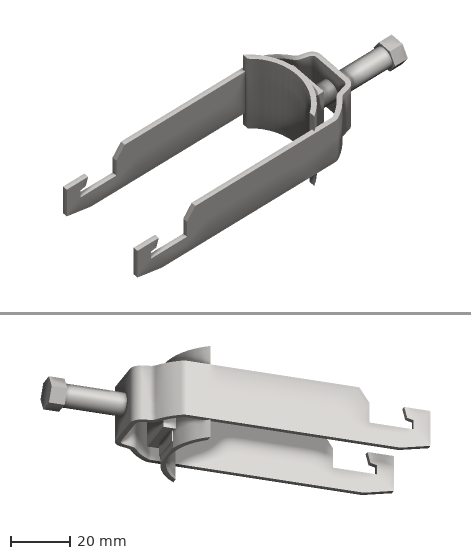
import cadquery as cq
import math

SHEET = 2.0

STRAP_WIDTH = 39.0
STRAP_HEIGHT = 20.2
STRAP_TOP_Y = 103.1
SHOULDER_CENTRE_Y = 78.0
SHOULDER_RADIUS = 21.8
NECK_TOP_WIDTH = 20.4
NECK_LEAN = 15.0
NECK_TOP_FILLET = 2 * SHEET
NECK_FOOT_FILLET = 2.5
SHOULDER_FILLET = 4.5
PICK_MARGIN = 0.1

HOOK_RAMP_Y = 25.5
HOOK_SLOT_BACK_Y = 21.8
HOOK_RAMP_FOOT_Z = 4.8
HOOK_SLOT_FLOOR_Z = -2.5
HOOK_SLOT_FRONT_Y = 6.0
HOOK_NOSE_TOP_Z = 5.4
HOOK_NOSE_TOP_Y = 9.4
HOOK_NOSE_CORNER_Y = 8.4
HOOK_NOSE_CORNER_Z = 1.5
HOOK_UNDERCUT_Z = 0.9
HOOK_TIP_BOTTOM_Z = -7.7
HOOK_CHIN_Y = 10.7

BOLT_DIAMETER = 8.2
BOLT_TIP_Y = 92.1
HEAD_ACROSS_CORNERS = 11.4
HEAD_TOP_Y = 130.5
HEAD_HEIGHT = 5.6

SADDLE_HEIGHT = 34.0
SADDLE_CENTRE_Z = 0.4
SADDLE_END_Y = 78.4
SADDLE_APEX_Y = 88.3
SADDLE_RADIUS = 22.6
BLOCK_WIDTH = 16.2
BLOCK_BACK_Y = 91.5
BLOCK_TOP_Z = 12.3
RECESS_FLOOR_Y = 87.5
PAD_BACK_Y = 87.8
PAD_BOTTOM_Z = -14.1

ARM_INNER_X = STRAP_WIDTH / 2 - SHEET
STRAP_BOTTOM_Z = -STRAP_HEIGHT / 2
SADDLE_BOTTOM_Z = SADDLE_CENTRE_Z - SADDLE_HEIGHT / 2
SADDLE_CENTRE_Y = SADDLE_APEX_Y - SADDLE_RADIUS
RECESS_WIDTH = 2 * math.sqrt(SADDLE_RADIUS**2 - (RECESS_FLOOR_Y - SADDLE_CENTRE_Y) ** 2)


def box_between(x_range, y_range, z_range):
    """Box with the given lower and upper limits along each axis."""
    size = [high - low for low, high in (x_range, y_range, z_range)]
    corner = (x_range[0], y_range[0], z_range[0])
    return cq.Workplane("XY").box(*size, centered=False).translate(corner)


def centred_range(width):
    """Limits of a span of the given width about zero."""
    return (-width / 2, width / 2)


def cylinder_along_z(radius, centre_y, z_range):
    """Cylinder on the X = 0 plane between two heights."""
    height = z_range[1] - z_range[0]
    return cq.Workplane("XY", origin=(0, centre_y, z_range[0])).circle(radius).extrude(height)


def strap_envelope():
    """Filled outline of the strap, reaching one sheet thickness past the hook tips."""
    z_range = centred_range(STRAP_HEIGHT)
    half_width = STRAP_WIDTH / 2
    shoulder_rise = math.sqrt(SHOULDER_RADIUS**2 - half_width**2)
    arms = box_between(centred_range(STRAP_WIDTH), (-SHEET, SHOULDER_CENTRE_Y), z_range)
    shoulder = cylinder_along_z(SHOULDER_RADIUS, SHOULDER_CENTRE_Y, z_range).intersect(
        box_between(
            centred_range(STRAP_WIDTH),
            (SHOULDER_CENTRE_Y, SHOULDER_CENTRE_Y + SHOULDER_RADIUS),
            z_range,
        )
    )
    neck_top = NECK_TOP_WIDTH / 2
    neck_foot = neck_top + (STRAP_TOP_Y - SHOULDER_CENTRE_Y) * math.tan(math.radians(NECK_LEAN))
    neck = (
        cq.Workplane("XY", origin=(0, 0, z_range[0]))
        .moveTo(-neck_foot, SHOULDER_CENTRE_Y)
        .lineTo(neck_foot, SHOULDER_CENTRE_Y)
        .lineTo(neck_top, STRAP_TOP_Y)
        .lineTo(-neck_top, STRAP_TOP_Y)
        .close()
        .extrude(STRAP_HEIGHT)
    )
    envelope = arms.union(shoulder).union(neck).clean()

    shoulder_y = SHOULDER_CENTRE_Y + shoulder_rise
    bends = [
        (NECK_FOOT_FILLET, (shoulder_y + PICK_MARGIN, STRAP_TOP_Y - PICK_MARGIN)),
        (NECK_TOP_FILLET, (STRAP_TOP_Y - PICK_MARGIN, STRAP_TOP_Y + PICK_MARGIN)),
        (SHOULDER_FILLET, (shoulder_y - PICK_MARGIN, shoulder_y + PICK_MARGIN)),
    ]
    for radius, (low_y, high_y) in bends:
        corner_band = cq.selectors.BoxSelector(
            (-STRAP_WIDTH, low_y, -STRAP_HEIGHT), (STRAP_WIDTH, high_y, STRAP_HEIGHT)
        )
        envelope = envelope.edges("|Z").edges(corner_band).fillet(radius)
    return envelope


def hook_profile():
    """Side profile of the strap with its hooks, extruded across the whole strap width."""
    top_z = STRAP_HEIGHT / 2
    return (
        cq.Workplane("YZ", origin=(-STRAP_WIDTH / 2, 0, 0))
        .polyline(
            [
                (STRAP_TOP_Y, top_z),
                (HOOK_RAMP_Y, top_z),
                (HOOK_SLOT_BACK_Y, HOOK_RAMP_FOOT_Z),
                (HOOK_SLOT_BACK_Y, HOOK_SLOT_FLOOR_Z),
                (HOOK_SLOT_FRONT_Y, HOOK_SLOT_FLOOR_Z),
                (HOOK_SLOT_FRONT_Y, HOOK_UNDERCUT_Z),
                (HOOK_NOSE_CORNER_Y, HOOK_NOSE_CORNER_Z),
                (HOOK_NOSE_TOP_Y, HOOK_NOSE_TOP_Z),
                (0, HOOK_NOSE_TOP_Z),
                (0, HOOK_TIP_BOTTOM_Z),
                (HOOK_CHIN_Y, STRAP_BOTTOM_Z),
                (STRAP_TOP_Y, STRAP_BOTTOM_Z),
            ]
        )
        .close()
        .extrude(STRAP_WIDTH)
    )


def bolt_shank():
    """Plain rod from the top of the head to the bolt tip."""
    length = HEAD_TOP_Y - BOLT_TIP_Y
    return cq.Workplane("XZ", origin=(0, HEAD_TOP_Y, 0)).circle(BOLT_DIAMETER / 2).extrude(length)


def make_strap():
    """Thin bent band with two hooks and a hole for the bolt."""
    envelope = strap_envelope()
    outline = envelope.faces("<Z").wires().toPending()
    inside = outline.offset2D(-SHEET).extrude(STRAP_HEIGHT, combine=False)
    return envelope.cut(inside).intersect(hook_profile()).cut(bolt_shank())


def make_bolt():
    """Hexagon-head bolt pointing toward the saddle."""
    head = (
        cq.Workplane("XZ", origin=(0, HEAD_TOP_Y, 0))
        .polygon(6, HEAD_ACROSS_CORNERS)
        .extrude(HEAD_HEIGHT)
    )
    return head.union(bolt_shank())


def make_saddle():
    """Arched plate between the arms, with the thrust block facing the bolt tip."""
    z_range = (SADDLE_BOTTOM_Z, SADDLE_BOTTOM_Z + SADDLE_HEIGHT)
    bore = cylinder_along_z(SADDLE_RADIUS - SHEET, SADDLE_CENTRE_Y, z_range)
    above_ends = box_between(centred_range(2 * SADDLE_RADIUS), (SADDLE_END_Y, BLOCK_BACK_Y), z_range)
    saddle = cylinder_along_z(SADDLE_RADIUS, SADDLE_CENTRE_Y, z_range).intersect(above_ends)

    saddle = saddle.cut(
        box_between(
            centred_range(RECESS_WIDTH),
            (RECESS_FLOOR_Y, BLOCK_BACK_Y),
            (SADDLE_BOTTOM_Z, STRAP_BOTTOM_Z),
        )
    )
    block = box_between(
        centred_range(BLOCK_WIDTH), (SADDLE_END_Y, BLOCK_BACK_Y), (STRAP_BOTTOM_Z, BLOCK_TOP_Z)
    )
    pad = box_between(
        centred_range(RECESS_WIDTH), (SADDLE_END_Y, PAD_BACK_Y), (PAD_BOTTOM_Z, STRAP_BOTTOM_Z)
    )
    saddle = saddle.union(block).union(pad).cut(bore)

    for side in (-1, 1):
        arm_x = sorted((side * ARM_INNER_X, side * STRAP_WIDTH / 2))
        saddle = saddle.cut(
            box_between(arm_x, (SADDLE_END_Y, SADDLE_APEX_Y), centred_range(STRAP_HEIGHT))
        )
    return saddle


strap = make_strap()
bolt = make_bolt()
saddle = make_saddle()

result = cq.Compound.makeCompound([strap.solids().val(), bolt.solids().val(), saddle.solids().val()])